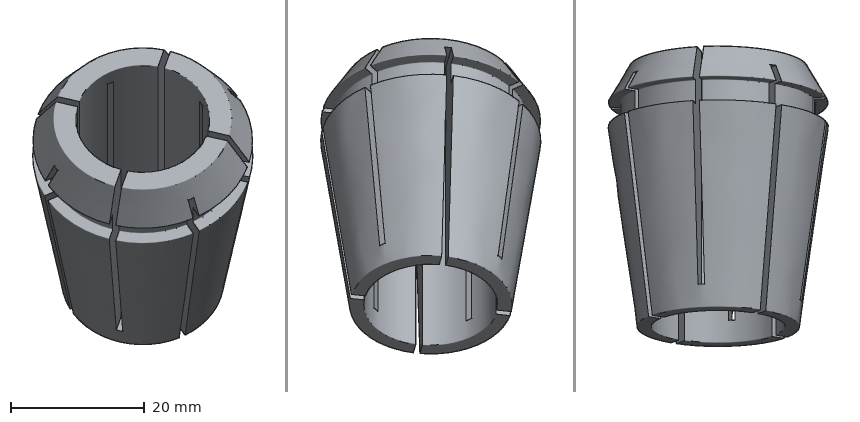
import cadquery as cq
import math

length = 40.0
rim_radius = 16.5
bore_radius = 10.0
edge_round = 0.1

body_half_angle = math.radians(8.0)
nose_half_angle = math.radians(30.0)
groove_radius = 14.6
groove_bottom_z = 30.9
groove_top_z = 34.5
body_bottom_radius = rim_radius - groove_bottom_z * math.tan(body_half_angle)
nose_top_radius = rim_radius - (length - groove_top_z) * math.tan(nose_half_angle)

slot_width = 1.0
slots_per_end = 4
slot_pitch = 360.0 / slots_per_end
top_slot_floor_z = 3.5
bottom_slot_roof_z = 37.3
slot_overrun = 1.0


def make_sleeve():
    """Revolve the half section around Z and round all its circular edges."""
    sleeve = (
        cq.Workplane("XZ")
        .moveTo(bore_radius, 0)
        .lineTo(body_bottom_radius, 0)
        .lineTo(rim_radius, groove_bottom_z)
        .lineTo(groove_radius, groove_bottom_z)
        .lineTo(groove_radius, groove_top_z)
        .lineTo(rim_radius, groove_top_z)
        .lineTo(nose_top_radius, length)
        .lineTo(bore_radius, length)
        .close()
        .revolve(360, (0, 0, 0), (0, 1, 0))
    )
    return sleeve.edges("%CIRCLE").fillet(edge_round)


def cut_slots(body, start_z, end_z, first_angle):
    """Cut evenly spaced radial slots through the wall between two heights."""
    reach = rim_radius + slot_overrun
    for index in range(slots_per_end):
        cutter = (
            cq.Workplane("XY", origin=(reach / 2, 0, start_z))
            .rect(reach, slot_width)
            .extrude(end_z - start_z)
            .rotate((0, 0, 0), (0, 0, 1), first_angle + index * slot_pitch)
        )
        body = body.cut(cutter)
    return body


collet = make_sleeve()
collet = cut_slots(collet, top_slot_floor_z, length + slot_overrun, 0.0)
collet = cut_slots(collet, -slot_overrun, bottom_slot_roof_z, slot_pitch / 2)

result = collet